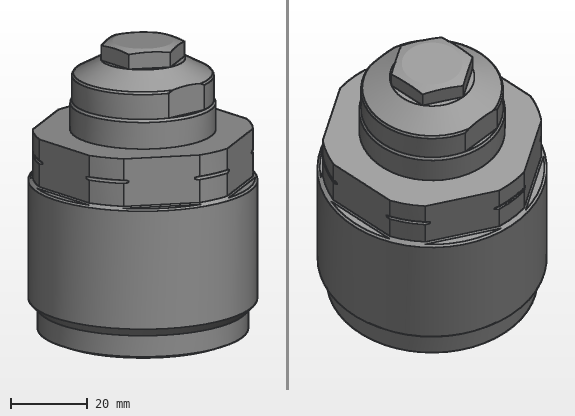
import cadquery as cq
import math

total_height = 78.8
spigot_top = 1.1
collar_top = 6.8
body_bottom = 9.2
body_top = 41.15
nut_bottom = 42.0
nut_top = 54.85
neck_top = 62.75
cap_edge_bottom = 69.45
cap_edge_top = 70.1
bolt_bottom = 74.0

spigot_radius = 24.9
collar_radius = 27.5
body_radius = 29.9
nut_radius = 28.7
neck_radius = 19.0
cap_radius = 18.5
cap_edge_radius = 18.1
cone_top_radius = 11.0
neck_chamfer_height = 0.7

nut_flat_distance = 26.9
flat_foot_width = 0.5
flat_foot_height = 0.4
flat_floor = nut_bottom - flat_foot_height
groove_height = 48.6
groove_radius = 0.43

cap_flat_distance = 17.5

bolt_across_flats = 19.15
bolt_face_radius = 7.9
bolt_chamfer_angle = 15.0

hex_sides = 6


def turned_body():
    """Revolve the stepped outline about Z."""
    outline = [
        (0, 0),
        (spigot_radius, 0),
        (spigot_radius, spigot_top),
        (collar_radius, spigot_top),
        (collar_radius, collar_top),
        (body_radius, body_bottom),
        (body_radius, body_top),
        (nut_radius, nut_bottom),
        (nut_radius, nut_top),
        (neck_radius, nut_top),
        (neck_radius, neck_top - neck_chamfer_height),
        (cap_radius, neck_top),
        (cap_radius, cap_edge_bottom),
        (cap_edge_radius, cap_edge_top),
        (cone_top_radius, bolt_bottom),
        (0, bolt_bottom),
    ]
    return cq.Workplane("XZ").polyline(outline).close().revolve(360, (0, 0), (0, 1))


def nut_flat_cutter():
    """Bar that cuts the nut flat facing +Y, leaving a sloped foot."""
    outer = body_radius + 0.8
    outline = [
        (nut_flat_distance, nut_top),
        (nut_flat_distance, nut_bottom),
        (nut_flat_distance + flat_foot_width, flat_floor),
        (outer, flat_floor),
        (outer, nut_top),
    ]
    return cq.Workplane("YZ").polyline(outline).close().extrude(body_radius, both=True)


def groove_cutter():
    """Ring of round section that grooves the nut corners."""
    section = cq.Workplane("XZ").center(nut_radius, groove_height).circle(groove_radius)
    return section.revolve(360, (-nut_radius, 0), (-nut_radius, 1))


def cap_flat_cutter(side):
    """Block outside one cap flat; side is -1 or +1 along X."""
    depth = neck_radius - cap_flat_distance
    height = bolt_bottom - neck_top
    block = cq.Workplane("XY").box(depth, 2 * neck_radius, height, centered=(True, True, False))
    return block.translate((side * (cap_flat_distance + depth / 2), 0, neck_top))


def bolt_head():
    """Hexagonal head with corners on X and a conical top chamfer."""
    corner_radius = bolt_across_flats / 2 / math.cos(math.pi / hex_sides)
    drop = (corner_radius - bolt_face_radius) * math.tan(math.radians(bolt_chamfer_angle))
    prism = (
        cq.Workplane("XY")
        .workplane(offset=bolt_bottom)
        .polygon(hex_sides, 2 * corner_radius)
        .extrude(total_height - bolt_bottom)
    )
    envelope = [
        (0, bolt_bottom),
        (corner_radius, bolt_bottom),
        (corner_radius, total_height - drop),
        (bolt_face_radius, total_height),
        (0, total_height),
    ]
    cone = cq.Workplane("XZ").polyline(envelope).close().revolve(360, (0, 0), (0, 1))
    return prism.intersect(cone)


result = turned_body()
for index in range(hex_sides):
    angle = index * 360 / hex_sides
    result = result.cut(nut_flat_cutter().rotate((0, 0, 0), (0, 0, 1), angle))
result = result.cut(groove_cutter())
for side in (-1, 1):
    result = result.cut(cap_flat_cutter(side))
result = result.union(bolt_head())